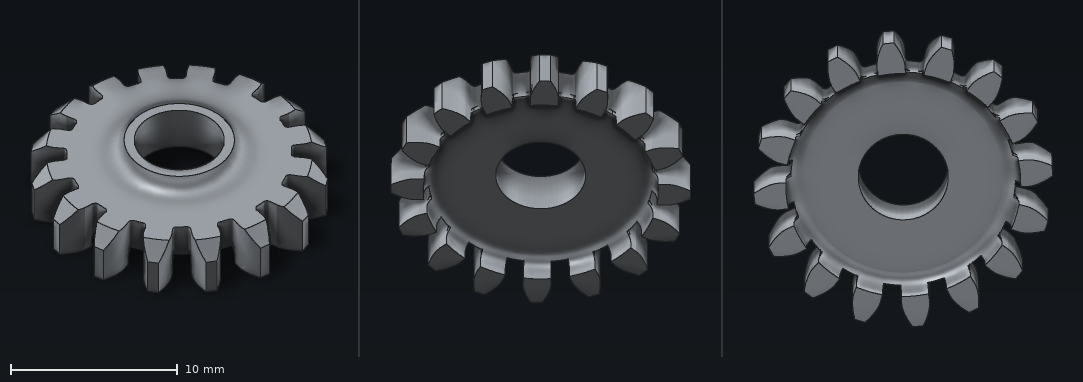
import cadquery as cq
import math

tooth_count = 16
tip_radius = 9.0
pressure_angle = math.radians(20)
root_clearance = 0.25
root_fillet = 0.27
foot_half_width = 0.81

gear_top = 3.37
hub_top = 4.37

bore_radius = 2.7
hub_rim_radius = 3.31
hub_base_radius = 4.73
hub_flare_mid_radius = 3.85
hub_flare_mid_rise = 0.29

recess_radius = 7.05
recess_ceiling = 1.48
recess_blend = 1.0
fillet_lift = 0.35

module = 2 * tip_radius / (tooth_count + 2)
pitch_radius = tip_radius - module
root_radius = pitch_radius - (1 + root_clearance) * module
base_radius = pitch_radius * math.cos(pressure_angle)
tooth_pitch = 2 * math.pi / tooth_count
flank_points = 6


def polar(radius, angle):
    return (radius * math.cos(angle), radius * math.sin(angle))


def involute(angle):
    return math.tan(angle) - angle


base_half_angle = tooth_pitch / 4 + involute(pressure_angle)
foot_half_angle = math.asin(foot_half_width / root_radius)


def half_angle(radius):
    """Half the angle a tooth spans at a radius on its involute flank."""
    return base_half_angle - involute(math.acos(base_radius / radius))


def flank(center_angle, side):
    """Points along one involute flank, from the base circle to the tip."""
    step = (tip_radius - base_radius) / (flank_points - 1)
    radii = [base_radius + step * i for i in range(flank_points - 1)] + [tip_radius]
    return [polar(r, center_angle + side * half_angle(r)) for r in radii]


def gear_blank():
    """Full-height toothed disc with sharp root corners."""
    outline = cq.Workplane("XY").moveTo(*polar(root_radius, -foot_half_angle))
    for i in range(tooth_count):
        center = i * tooth_pitch
        rising = flank(center, -1)
        falling = flank(center, 1)[::-1]
        outline = (
            outline.lineTo(*rising[0])
            .spline(rising[1:], includeCurrent=True)
            .threePointArc(polar(tip_radius, center), falling[0])
            .spline(falling[1:], includeCurrent=True)
            .lineTo(*polar(root_radius, center + foot_half_angle))
            .threePointArc(
                polar(root_radius, center + tooth_pitch / 2),
                polar(root_radius, center + tooth_pitch - foot_half_angle),
            )
        )
    return outline.close().extrude(gear_top)


def round_roots(blank):
    """Fillet the upright inner corners where the teeth meet the root circle."""
    reach = (root_radius + base_radius) / 2

    def is_root_corner(edge):
        return math.hypot(edge.Center().x, edge.Center().y) < reach

    return blank.edges("|Z").filter(is_root_corner).fillet(root_fillet)


def revolved(profile):
    """Turn a closed radius-height profile about the Z axis."""
    return profile.close().revolve(360, (0, 0, 0), (0, 1, 0))


def tooth_chamfer():
    """Ring that bevels the upper tooth ends at 45 degrees down from the pitch circle."""
    margin = module
    return revolved(
        cq.Workplane("XZ")
        .moveTo(pitch_radius - margin, gear_top + margin)
        .lineTo(tip_radius + margin, gear_top - 2 * module)
        .lineTo(tip_radius + margin, gear_top + margin)
    )


def recess(ceiling):
    """Hollow under the web, its ceiling curving down to the wall behind the teeth."""
    blend_center_radius = recess_radius - recess_blend
    blend_center_z = ceiling - recess_blend
    diagonal = recess_blend * math.sqrt(0.5)
    return revolved(
        cq.Workplane("XZ")
        .lineTo(recess_radius, 0)
        .lineTo(recess_radius, blend_center_z)
        .threePointArc(
            (blend_center_radius + diagonal, blend_center_z + diagonal),
            (blend_center_radius, ceiling),
        )
        .lineTo(0, ceiling)
    )


def hub():
    """Raised collar with a hollow flare running out onto the web."""
    return revolved(
        cq.Workplane("XZ")
        .moveTo(0, recess_ceiling)
        .lineTo(hub_base_radius, recess_ceiling)
        .lineTo(hub_base_radius, gear_top)
        .threePointArc((hub_flare_mid_radius, gear_top + hub_flare_mid_rise), (hub_rim_radius, hub_top))
        .lineTo(0, hub_top)
    )


blank = gear_blank()
sharp_gear = blank.cut(recess(recess_ceiling))
fillet_gear = round_roots(blank).cut(recess(recess_ceiling + fillet_lift))
gear = sharp_gear.union(fillet_gear).cut(tooth_chamfer())

bore = cq.Workplane("XY").circle(bore_radius).extrude(hub_top)
result = gear.union(hub()).cut(bore)